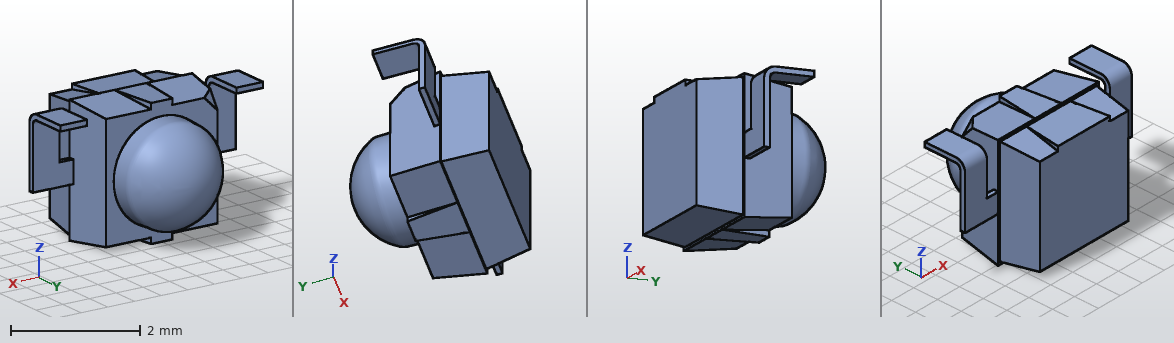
import cadquery as cq
import math

BACK_SIZE = 2.3
BACK_DEPTH = 0.85
FRONT_SIZE = 2.2
FRONT_DEPTH = 0.75
DRAFT = math.tan(math.radians(7))
BACK_END_SIZE = BACK_SIZE - 2 * BACK_DEPTH * DRAFT
FRONT_END_SIZE = FRONT_SIZE - 2 * FRONT_DEPTH * DRAFT

BACK_PAD_WIDTH = 0.608
BACK_PAD_END_WIDTH = BACK_PAD_WIDTH - 2 * BACK_DEPTH * DRAFT
FRONT_PAD_WIDTH = 1.0
FRONT_PAD_END_WIDTH = FRONT_PAD_WIDTH + 2 * FRONT_DEPTH * DRAFT

CORNER_CUT = 0.247

LENS_BASE_RADIUS = 0.9
LENS_RIM_RADIUS = 0.885
LENS_RIM_Y = 1.145
DOME_RADIUS = 0.86
DOME_Y = 1.258
LENS_HEIGHT = 0.95
LENS_TIP_Y = BACK_DEPTH + LENS_HEIGHT
RIM_BULGE = 0.008

LEAD_SPAN = 3.8
LEAD_WIDTH = 0.5
LEAD_THICKNESS = 0.1
LEAD_TOP = FRONT_SIZE / 2
ARM_HALF_HEIGHT = 0.2
BEND_INNER_RADIUS = 0.1
BEND_OUTER_RADIUS = BEND_INNER_RADIUS + LEAD_THICKNESS


def tapered_block(size, end_size, end_y):
    """Square frustum from the parting plane to end_y."""
    return (
        cq.Workplane("XZ")
        .rect(size, size)
        .workplane(offset=-end_y)
        .rect(end_size, end_size)
        .loft(ruled=True)
    )


def pad(width, end_width, end_y, bottom, top):
    """Trapezoid in plan, running from the parting plane to end_y."""
    outline = [
        (-width / 2, 0),
        (width / 2, 0),
        (end_width / 2, end_y),
        (-end_width / 2, end_y),
    ]
    return cq.Workplane("XY", origin=(0, 0, bottom)).polyline(outline).close().extrude(top - bottom)


def lens():
    """Conical base, rounded shoulder and spherical dome, turned about Y."""
    dome_height = LENS_TIP_Y - DOME_Y
    sphere_radius = (DOME_RADIUS**2 + dome_height**2) / (2 * dome_height)
    half_angle = math.asin(DOME_RADIUS / sphere_radius) / 2
    dome_middle = (
        sphere_radius * math.sin(half_angle),
        LENS_TIP_Y - sphere_radius * (1 - math.cos(half_angle)),
    )
    shoulder_middle = (
        (LENS_RIM_RADIUS + DOME_RADIUS) / 2 + RIM_BULGE,
        (LENS_RIM_Y + DOME_Y) / 2,
    )
    return (
        cq.Workplane("XY")
        .moveTo(0, BACK_DEPTH)
        .lineTo(LENS_BASE_RADIUS, BACK_DEPTH)
        .lineTo(LENS_RIM_RADIUS, LENS_RIM_Y)
        .threePointArc(shoulder_middle, (DOME_RADIUS, DOME_Y))
        .threePointArc(dome_middle, (0, LENS_TIP_Y))
        .close()
        .revolve(360, (0, 0, 0), (0, 1, 0))
    )


def corner_wedge():
    """Tetrahedron whose slanted face bevels the upper -X corner of the back face."""
    half = BACK_END_SIZE / 2
    cut_y = CORNER_CUT / (1 + 2 * DRAFT)
    leg_ratio = 4
    leg = leg_ratio * CORNER_CUT
    x, y, z = -half - CORNER_CUT, BACK_DEPTH + cut_y, half + CORNER_CUT
    apex = cq.Vector(x, y, z)
    along_x = cq.Vector(x + leg, y, z)
    along_y = cq.Vector(x, y - leg_ratio * cut_y, z)
    along_z = cq.Vector(x, y, z - leg)
    triangles = [
        (apex, along_x, along_y),
        (apex, along_y, along_z),
        (apex, along_z, along_x),
        (along_x, along_y, along_z),
    ]
    faces = [cq.Face.makeFromWires(cq.Wire.makePolygon(list(t), close=True)) for t in triangles]
    return cq.Workplane(cq.Solid.makeSolid(cq.Shell.makeShell(faces)))


def make_housing():
    back = tapered_block(BACK_SIZE, BACK_END_SIZE, BACK_DEPTH).cut(corner_wedge())
    front = tapered_block(FRONT_SIZE, FRONT_END_SIZE, -FRONT_DEPTH)
    back_pads = pad(BACK_PAD_WIDTH, BACK_PAD_END_WIDTH, BACK_DEPTH, -BACK_SIZE / 2, BACK_SIZE / 2)
    front_pad = pad(FRONT_PAD_WIDTH, FRONT_PAD_END_WIDTH, -FRONT_DEPTH, 0, FRONT_SIZE / 2)
    return back.union(front).union(back_pads).union(front_pad).union(lens())


def make_lead(side, housing):
    """L-bent strip with an arm that butts against the housing; side is -1 or 1."""
    outer_x = side * LEAD_SPAN / 2
    strip = (
        cq.Workplane("YZ", origin=(outer_x, 0, 0))
        .moveTo(0, -ARM_HALF_HEIGHT)
        .lineTo(0, LEAD_TOP - BEND_OUTER_RADIUS)
        .radiusArc((BEND_OUTER_RADIUS, LEAD_TOP), BEND_OUTER_RADIUS)
        .lineTo(BACK_DEPTH, LEAD_TOP)
        .lineTo(BACK_DEPTH, LEAD_TOP - LEAD_THICKNESS)
        .lineTo(BEND_OUTER_RADIUS, LEAD_TOP - LEAD_THICKNESS)
        .radiusArc((LEAD_THICKNESS, LEAD_TOP - BEND_OUTER_RADIUS), -BEND_INNER_RADIUS)
        .lineTo(LEAD_THICKNESS, -ARM_HALF_HEIGHT)
        .close()
        .extrude(-side * LEAD_WIDTH)
    )
    arm_length = (LEAD_SPAN - BACK_END_SIZE) / 2
    arm = (
        cq.Workplane("XY", origin=(outer_x - side * arm_length / 2, 0, 0))
        .box(arm_length, LEAD_THICKNESS, 2 * ARM_HALF_HEIGHT, centered=(True, False, True))
    )
    return strip.union(arm).cut(housing)


housing = make_housing()
leads = [make_lead(side, housing) for side in (-1, 1)]
result = cq.Compound.makeCompound([housing.val(), *[lead.val() for lead in leads]])